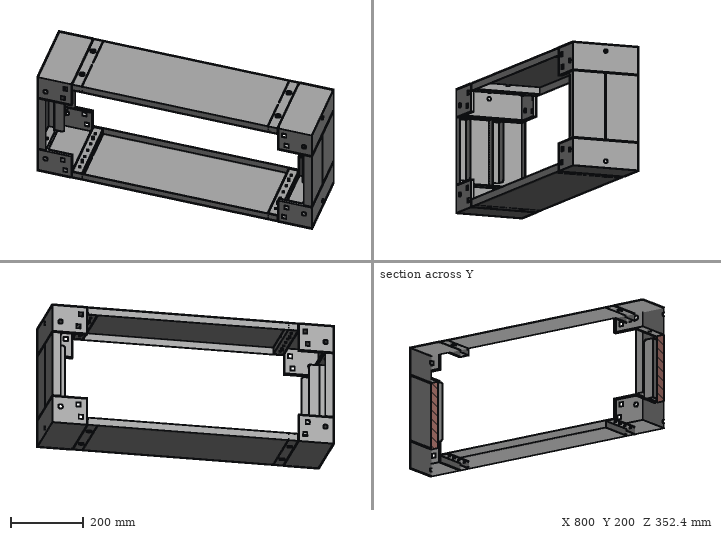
import cadquery as cq

LENGTH = 800.0
DEPTH = 200.0
HEIGHT = 350.0
OVERLAP = 1.0

CORNER_LENGTH = 100.0
CORNER_HEIGHT = 80.0
CORNER_SHEET = 2.0
CORNER_LIP = 10.0
CORNER_END_LIP = 30.0
SIDE_HOLE_DIA = 13.0
SIDE_HOLE_X = 24.0
SIDE_HOLE_Z = 50.0
SQUARE_HOLE = 12.0
SQUARE_HOLES = [(82.0, 23.0), (74.0, 59.0)]
END_HOLE_DIA = 10.0
END_HOLE_Z = 20.0

TRAY_LENGTH = LENGTH - 2 * CORNER_LENGTH
TRAY_HEIGHT = 22.0
TRAY_SHEET = 2.0
TRAY_BEND = 2.0
CHANNEL_WIDTH = 30.0
CHANNEL_GAP = 2.0
LIP_NOTCH_WIDTH = 10.0
LIP_NOTCH_HEIGHT = 4.0
RELIEF_HEIGHT = 5.0
STUD_DIA = 6.0
STUD_SPACING = 100.0
STUD_OUTSIDE = 1.2
STUD_INSIDE = 5.0
STUD_CLEARANCE_DIA = 14.0
CHANNEL_HOLE_DIA = 6.0
CHANNEL_HOLES_Y = [-72.0, -27.0, 0, 27.0, 72.0]

PANEL_WIDTH = DEPTH / 2
PANEL_HEIGHT = HEIGHT - 2 * CORNER_HEIGHT
PANEL_FLANGE = 25.0
PANEL_SHEET = 2.0
PANEL_RETURN = 21.0
TAB_REACH = 54.0
TAB_HEIGHT = 171.0
TAB_CHAMFER = 5.0
PANEL_HOLE_DIA = 8.0


def box(x0, x1, y0, y1, z0, z1):
    """Block between two opposite corners."""
    return cq.Workplane("XY").box(x1 - x0, y1 - y0, z1 - z0, centered=False).translate((x0, y0, z0))


def make_corner():
    """Folded corner box at the -X end of the bottom, open at the top and toward +X."""
    x0 = -LENGTH / 2
    x1 = x0 + CORNER_LENGTH
    y = DEPTH / 2
    z0 = -HEIGHT / 2
    z1 = z0 + CORNER_HEIGHT
    t = CORNER_SHEET
    corner = box(x0, x1, -y, y, z0, z1)
    corner = corner.cut(box(x0 + t, x1 - t, t - y, y - t, z0 + t, z1 - t))
    lip_y = y - CORNER_LIP
    corner = corner.cut(box(x0 + CORNER_END_LIP, x1, -lip_y, lip_y, z1 - t, z1))
    corner = corner.cut(box(x1 - t, x1, -lip_y, lip_y, z0 + t, z1))

    round_holes = (
        cq.Workplane("XZ").center(x0 + SIDE_HOLE_X, z0 + SIDE_HOLE_Z)
        .circle(SIDE_HOLE_DIA / 2).extrude(DEPTH, both=True)
    )
    square_holes = (
        cq.Workplane("XZ").pushPoints([(x0 + x, z0 + z) for x, z in SQUARE_HOLES])
        .rect(SQUARE_HOLE, SQUARE_HOLE).extrude(DEPTH, both=True)
    )
    end_hole = (
        cq.Workplane("YZ", origin=(x0 - OVERLAP, 0, z0 + END_HOLE_Z))
        .circle(END_HOLE_DIA / 2).extrude(t + 2 * OVERLAP)
    )
    return corner.cut(round_holes).cut(square_holes).cut(end_hole)


def make_tray():
    """Bottom tray: shallow pan whose ends fold over into channels, with two studs in each channel."""
    x = TRAY_LENGTH / 2
    y = DEPTH / 2
    z0 = -HEIGHT / 2
    z1 = z0 + TRAY_HEIGHT
    t = TRAY_SHEET
    channel_x = x - CHANNEL_WIDTH
    channel_y = y - t - CHANNEL_GAP
    tray = box(-x, x, -y, y, z0, z1).faces("<Z").edges().fillet(TRAY_BEND)
    tray = tray.cut(box(t - x, x - t, t - y, y - t, z0 + t, z1))
    for x0, x1, lip_x in [(-x, -channel_x, -channel_x - t), (channel_x, x, channel_x)]:
        tray = tray.union(box(x0, x1, -channel_y, channel_y, z1 - t, z1))
        tray = tray.union(box(lip_x, lip_x + t, -channel_y, channel_y, z0 + t, z1))
        notch_y = LIP_NOTCH_WIDTH / 2
        tray = tray.cut(box(lip_x, lip_x + t, -notch_y, notch_y, z0 + t, z0 + t + LIP_NOTCH_HEIGHT))

    for x0 in (-x, x - t):
        for y0 in (-y, channel_y):
            tray = tray.cut(box(x0, x0 + t, y0, y0 + t + CHANNEL_GAP, z1 - RELIEF_HEIGHT, z1))

    mid_x = x - CHANNEL_WIDTH / 2
    stud_points = [(sx * mid_x, sy * STUD_SPACING / 2) for sx in (-1, 1) for sy in (-1, 1)]
    clearances = (
        cq.Workplane("XY", origin=(0, 0, z0 - OVERLAP)).pushPoints(stud_points)
        .circle(STUD_CLEARANCE_DIA / 2).extrude(t + 2 * OVERLAP)
    )
    channel_holes = (
        cq.Workplane("XY", origin=(0, 0, z1 - t - OVERLAP))
        .pushPoints([(sx * mid_x, hole_y) for sx in (-1, 1) for hole_y in CHANNEL_HOLES_Y])
        .circle(CHANNEL_HOLE_DIA / 2).extrude(t + 2 * OVERLAP)
    )
    studs = (
        cq.Workplane("XY", origin=(0, 0, z0 - STUD_OUTSIDE)).pushPoints(stud_points)
        .circle(STUD_DIA / 2).extrude(STUD_OUTSIDE + TRAY_HEIGHT + STUD_INSIDE)
    )
    return tray.cut(clearances).cut(channel_holes).union(studs)


def make_panel(y0):
    """End panel at the -X end: pan open toward +X, with a return and a tab along its +Y side."""
    x0 = -LENGTH / 2
    x1 = x0 + PANEL_FLANGE
    y1 = y0 + PANEL_WIDTH
    z = PANEL_HEIGHT / 2
    t = PANEL_SHEET
    tab_y = y1 - PANEL_RETURN
    panel = box(x0, x1, y0, y1, -z, z)
    panel = panel.cut(box(x0 + t, x1, y0 + t, y1 - t, t - z, z - t))
    tab_z = TAB_HEIGHT / 2
    return_strip = box(x1 - t, x1, tab_y, y1, -tab_z, tab_z)
    tab = box(x1 - t, x0 + TAB_REACH, tab_y, tab_y + t, -tab_z, tab_z)
    tab = tab.edges("|Y and >X").chamfer(TAB_CHAMFER)
    holes = (
        cq.Workplane("XY").center(x0 + PANEL_FLANGE / 2, y0 + PANEL_WIDTH / 2)
        .circle(PANEL_HOLE_DIA / 2).extrude(PANEL_HEIGHT, both=True)
    )
    return panel.union(return_strip).union(tab).cut(holes)


lower_left_corner = make_corner()
lower_corners = [lower_left_corner, lower_left_corner.mirror("YZ")]
corners = lower_corners + [corner.mirror("XY") for corner in lower_corners]

lower_tray = make_tray()
trays = [lower_tray, lower_tray.mirror("XY")]

left_panels = [make_panel(y0) for y0 in (-PANEL_WIDTH, 0)]
panels = left_panels + [panel.mirror("YZ") for panel in left_panels]

bodies = corners + trays + panels
result = cq.Compound.makeCompound([solid for body in bodies for solid in body.solids().vals()])